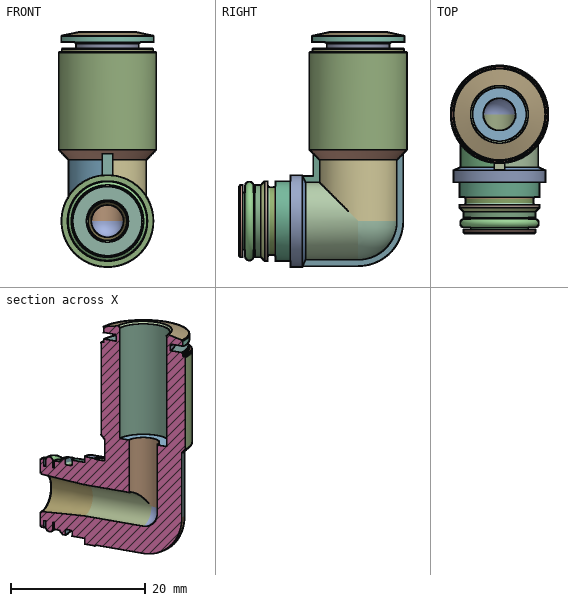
import cadquery as cq


elbow_radius = 5.82
passage_radius = 4.8 / 2
arm_joint = 7.85

cone_bottom = 9.1
body_bottom = 10.65
body_top = 25.2
body_chamfer = 0.15
body_radius = 14.6 / 2
shoulder_top = 25.73
shoulder_radius = 13.7 / 2
shoulder_chamfer = 0.15
neck_radius = 9.4 / 2
neck_flare = 0.25
disc_bottom = 26.67
disc_rim_top = 27.65
disc_radius = 13.8 / 2
disc_chamfer = 0.1
socket_top = 28.18
socket_bore_radius = 8.0 / 2
socket_mouth_radius = 8.6 / 2

flange_radius = 6.87
flange_rim_start = 8.35
flange_end = 10.13
collar_radius = 11.95 / 2
collar_end = 12.35
groove_radius = 10.15 / 2
groove_fillet = 0.25
lip_start = 13.45
lip_end = 13.95
land_radius = 10.8 / 2
land_start = 14.5
land_end = 15.4
seal_groove_radius = 8.6 / 2
end_land_start = 17.17
plug_end = 17.8
plug_chamfer = 0.25
plug_bore_radius = 5.8 / 2
plug_mouth_chamfer = 0.25

seal_outer_radius = 5.9
seal_width = 1.3
seal_center = 16.23

rib_width = 1.5
rib_reach = 6.73


def upright(profile):
    """Revolve (radius, height) points about Z."""
    return cq.Workplane("XZ").polyline(profile).close().revolve(360, (0, 0), (0, 1))


def along_arm(profile):
    """Revolve (radius, distance) points about the arm axis."""
    points = [(radius, -distance) for radius, distance in profile]
    return cq.Workplane("XY").polyline(points).close().revolve(360, (0, 0), (0, 1))


def socket():
    return upright([
        (0, 0),
        (elbow_radius, 0),
        (elbow_radius, cone_bottom),
        (body_radius, body_bottom),
        (body_radius, body_top - body_chamfer),
        (body_radius - body_chamfer, body_top),
        (shoulder_radius, body_top),
        (shoulder_radius, shoulder_top - shoulder_chamfer),
        (shoulder_radius - shoulder_chamfer, shoulder_top),
        (neck_radius, shoulder_top),
        (neck_radius, disc_bottom - neck_flare),
        (neck_radius + neck_flare, disc_bottom),
        (disc_radius, disc_bottom),
        (disc_radius, disc_rim_top - disc_chamfer),
        (disc_radius - disc_chamfer, disc_rim_top),
        (socket_mouth_radius, socket_top),
        (0, socket_top),
    ])


def plug():
    """Arm, flange, collar and lands, with a filleted groove behind the lip."""
    body = along_arm([
        (0, 0),
        (elbow_radius, 0),
        (elbow_radius, arm_joint),
        (flange_radius, flange_rim_start),
        (flange_radius, flange_end),
        (collar_radius, flange_end),
        (collar_radius, collar_end),
        (groove_radius, collar_end),
        (groove_radius, lip_start),
        (collar_radius, lip_start),
        (collar_radius, lip_end),
        (land_radius, land_start),
        (land_radius, land_end),
        (seal_groove_radius, land_end),
        (seal_groove_radius, end_land_start),
        (land_radius, end_land_start),
        (land_radius, plug_end - plug_chamfer),
        (land_radius - plug_chamfer, plug_end),
        (0, plug_end),
    ])
    groove_space = cq.selectors.BoxSelector(
        (-collar_radius, -collar_end - groove_fillet, -collar_radius),
        (collar_radius, -lip_start + groove_fillet, collar_radius),
    )
    groove_floor = body.faces(groove_space)
    return groove_floor.edges("%CIRCLE").fillet(groove_fillet)


def seal():
    """O-ring with a round outer side, seated on the floor of its groove."""
    half = seal_width / 2
    round_start = seal_outer_radius - half
    return (
        cq.Workplane("XY")
        .moveTo(seal_groove_radius, -seal_center + half)
        .lineTo(round_start, -seal_center + half)
        .threePointArc((seal_outer_radius, -seal_center), (round_start, -seal_center - half))
        .lineTo(seal_groove_radius, -seal_center - half)
        .close()
        .revolve(360, (0, 0), (0, 1))
    )


def rib():
    """L-shaped plate with its outer corner rounded about the origin."""
    cone_slope = (body_bottom - cone_bottom) / (body_radius - elbow_radius)
    rib_top = cone_bottom + (rib_reach - elbow_radius) * cone_slope
    diagonal = rib_reach / 2 ** 0.5
    return (
        cq.Workplane("YZ")
        .moveTo(rib_reach, rib_top)
        .lineTo(rib_reach, 0)
        .threePointArc((diagonal, -diagonal), (0, -rib_reach))
        .lineTo(-flange_rim_start, -rib_reach)
        .lineTo(-flange_rim_start, rib_reach)
        .lineTo(-rib_reach, rib_reach)
        .lineTo(-rib_reach, rib_top)
        .close()
        .extrude(rib_width / 2, both=True)
    )


def socket_bore():
    mouth_depth = socket_mouth_radius - socket_bore_radius
    return upright([
        (0, 0),
        (passage_radius, 0),
        (passage_radius, body_bottom),
        (socket_bore_radius, body_bottom),
        (socket_bore_radius, socket_top - mouth_depth),
        (socket_mouth_radius, socket_top),
        (0, socket_top),
    ])


def plug_bore():
    """Bore that tapers inward from the mouth to the passage."""
    return along_arm([
        (0, 0),
        (passage_radius, 0),
        (passage_radius, flange_end),
        (plug_bore_radius, plug_end - plug_mouth_chamfer),
        (plug_bore_radius + plug_mouth_chamfer, plug_end),
        (0, plug_end),
    ])


outside = (
    cq.Workplane("XY")
    .sphere(elbow_radius)
    .union(socket())
    .union(plug())
    .union(seal())
    .union(rib())
)
passage = cq.Workplane("XY").sphere(passage_radius).union(socket_bore()).union(plug_bore())
result = outside.cut(passage)